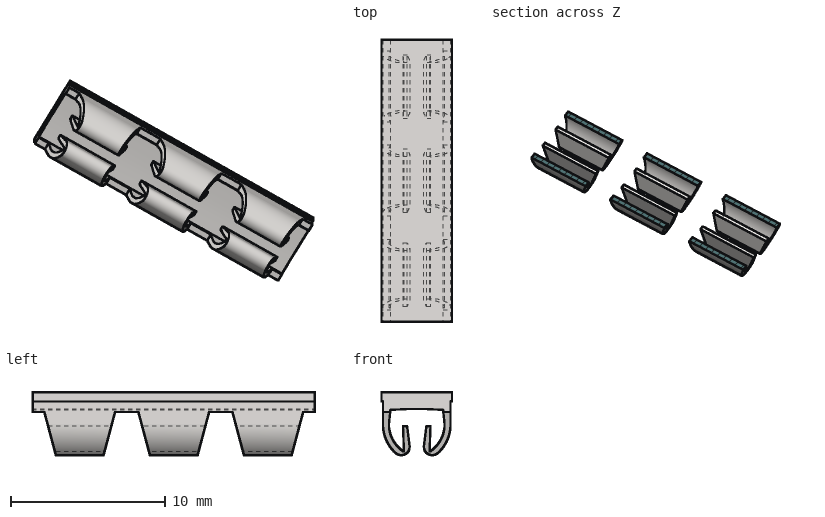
import cadquery as cq
import math

length = 18.3
plate_width = 4.6
overall_height = 4.1
lip_depth = 0.6
lip_overhang = 0.1
ceiling_edge_z = -1.16
ceiling_crown_z = -1.1
ceiling_half_width = 1.7

body_half_width = plate_width / 2 - lip_overhang
arm_curve_z = -2.1
outer_radius = 2.5
arm_thickness = 0.4
tip_radius = 0.55
inner_radius = outer_radius - arm_thickness
arc_center_x = body_half_width - outer_radius
notch_x = 0.84
finger_top_z = -2.2
finger_outer_x = 0.9
finger_inner_x = 0.62

segment_count = 3
segment_pitch = length / segment_count
gap_width = 1.5
gap_root_z = -1.3
flank_angle = 15


def arc_point(center, radius, angle):
    """Point on a circle in the XZ section, angle in radians from +X."""
    return (center[0] + radius * math.cos(angle), center[1] + radius * math.sin(angle))


def make_plate():
    """Top plate with overhanging lips and a slightly arched underside."""
    half_width = plate_width / 2
    return (
        cq.Workplane("XZ")
        .moveTo(-half_width, 0)
        .lineTo(half_width, 0)
        .lineTo(half_width, -lip_depth)
        .lineTo(body_half_width, -lip_depth)
        .lineTo(body_half_width, ceiling_edge_z)
        .lineTo(ceiling_half_width, ceiling_edge_z)
        .threePointArc((0, ceiling_crown_z), (-ceiling_half_width, ceiling_edge_z))
        .lineTo(-body_half_width, ceiling_edge_z)
        .lineTo(-body_half_width, -lip_depth)
        .lineTo(-half_width, -lip_depth)
        .close()
        .extrude(length / 2, both=True)
    )


def make_arm():
    """Full-length clip arm on the +X side."""
    arc_center = (arc_center_x, arm_curve_z)

    tip_z = -overall_height + tip_radius
    center_distance = outer_radius - tip_radius
    tip_drop = arm_curve_z - tip_z
    tip_x = arc_center_x + math.sqrt(center_distance**2 - tip_drop**2)
    tip_center = (tip_x, tip_z)
    touch_angle = -math.asin(tip_drop / center_distance)
    touch_point = arc_point(arc_center, outer_radius, touch_angle)
    outer_mid = arc_point(arc_center, outer_radius, touch_angle / 2)

    finger_dx = finger_inner_x - tip_x
    finger_dz = finger_top_z - tip_z
    finger_angle = math.atan2(finger_dz, finger_dx)
    finger_tangent_angle = finger_angle + math.acos(tip_radius / math.hypot(finger_dx, finger_dz))
    finger_foot = arc_point(tip_center, tip_radius, finger_tangent_angle)
    tip_bottom = (tip_x, -overall_height)

    notch_angle = -math.acos((notch_x - arc_center_x) / inner_radius)
    notch_point = arc_point(arc_center, inner_radius, notch_angle)
    inner_mid = arc_point(arc_center, inner_radius, notch_angle / 2)

    return (
        cq.Workplane("XZ")
        .moveTo(ceiling_half_width, ceiling_edge_z)
        .lineTo(body_half_width, ceiling_edge_z)
        .lineTo(body_half_width, arm_curve_z)
        .threePointArc(outer_mid, touch_point)
        .threePointArc(tip_bottom, finger_foot)
        .lineTo(finger_inner_x, finger_top_z)
        .lineTo(finger_outer_x, finger_top_z)
        .lineTo(*notch_point)
        .threePointArc(inner_mid, (arc_center_x + inner_radius, arm_curve_z))
        .close()
        .extrude(length / 2, both=True)
    )


def make_gap(center_y):
    """Trapezoidal cutter that separates neighbouring clip segments."""
    flank_run = (gap_root_z + overall_height) * math.tan(math.radians(flank_angle))
    root_half = gap_width / 2
    mouth_half = root_half + flank_run
    return (
        cq.Workplane("YZ")
        .polyline([
            (center_y - root_half, gap_root_z),
            (center_y + root_half, gap_root_z),
            (center_y + mouth_half, -overall_height),
            (center_y - mouth_half, -overall_height),
        ])
        .close()
        .extrude(plate_width, both=True)
    )


arm = make_arm()
result = make_plate().union(arm).union(arm.mirror("YZ"))
for index in range(segment_count + 1):
    result = result.cut(make_gap(index * segment_pitch - length / 2))